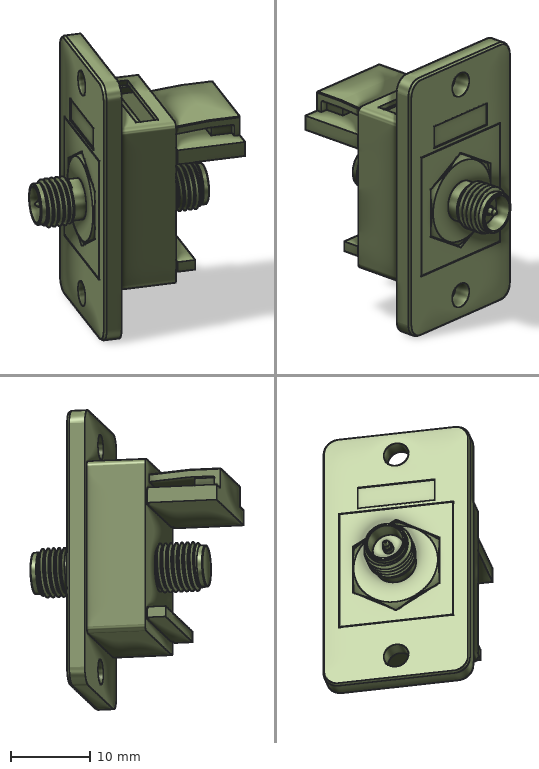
import cadquery as cq
import math


plate_width = 19.0
plate_height = 35.5
plate_thickness = 2.35
plate_corner_radius = 2.0
plate_edge_bevel_length = 0.35
plate_edge_bevel_inset = 0.2
screw_hole_diameter = 3.2
screw_hole_spacing = 29.0

label_width = 10.0
label_height = 3.0
label_depth = 0.2
label_z = 8.83
insert_width = 14.85
insert_height = 16.4
insert_z = -1.35
insert_gap = 0.1
insert_gap_depth = 0.5

housing_width = 16.75
housing_rear = 9.9
housing_top = 11.13
housing_bottom = -11.1
housing_edge_radius = 0.75

slot_width = 13.1
slot_front = 5.15
slot_rear = 8.1
slot_depth = 0.65
slot_pocket_width = 11.9
slot_pocket_front = 6.15
slot_pocket_rear = 9.0
slot_pocket_depth = 1.5

latch_rear = 19.1
slab_width = 16.3
slab_bottom = 5.35
slab_top = 7.3
neck_width = 14.5
neck_length = 0.25
foot_rear = 12.5
foot_bottom = -9.45
foot_top = -8.1
arm_width = 11.9
arm_top = 9.88
arm_bend = 15.1
arm_root_top = 9.5
arm_thickness = 1.0
arm_edge_bevel = 0.12
post_thickness = 0.75
arm_inner_radius = 0.3
block_width = 9.9
block_front = 15.6

connector_z = -1.42
connector_front = -6.2
connector_rear = 16.1
barrel_diameter = 5.3
barrel_edge_bevel = 0.1
bore_floor_diameter = 4.1
bore_mouth_diameter = 4.65
bore_depth = 2.0
pin_base_diameter = 1.27
pin_base_length = 0.7
pin_diameter = 0.9
pin_tip_diameter = 0.2
pin_tip_length = 0.45
pin_setback = 0.05

thread_diameter = 6.25
thread_pitch = 25.4 / 36
thread_half_angle = 30.0
thread_root_overlap = 0.05
front_thread_first = -1.7
front_thread_last = -5.45
front_helix_start = -1.31
front_helix_turns = 6.3
rear_thread_last = 15.35
rear_helix_start = 8.93
rear_helix_turns = 9.7

nut_across_flats = 11.1
nut_face_diameter = 10.9
nut_protrusion = 0.22
nut_bevel_angle = 35.0
nut_seat_clearance = 0.1
nut_seat_depth = 0.8


def box(width, y_front, y_rear, z_bottom, z_top):
    """Box centred on X = 0."""
    block = cq.Workplane("XY").box(width, y_rear - y_front, z_top - z_bottom, centered=(True, False, False))
    return block.translate((0, y_front, z_bottom))


def cylinder(diameter, y_front, y_rear, z):
    """Cylinder along Y."""
    disc = cq.Workplane("XZ", origin=(0, y_front, z)).circle(diameter / 2)
    return disc.extrude(y_front - y_rear)


def cone(front_diameter, rear_diameter, y_front, y_rear, z):
    """Truncated cone along Y."""
    profile = [
        (0, y_front),
        (front_diameter / 2, y_front),
        (rear_diameter / 2, y_rear),
        (0, y_rear),
    ]
    solid = cq.Workplane("XY").polyline(profile).close().revolve(360, (0, 0, 0), (0, 1, 0))
    return solid.translate((0, 0, z))


def hexagon(across_flats, y_front, y_rear, z):
    """Hexagonal prism along Y with corners at top and bottom."""
    half_corner_angle = 180 / 6
    corner_diameter = across_flats / math.cos(math.radians(half_corner_angle))
    prism = cq.Workplane("XZ").polygon(6, corner_diameter).extrude(y_front - y_rear)
    return prism.rotate((0, 0, 0), (0, 1, 0), half_corner_angle).translate((0, y_front, z))


def make_plate():
    plate = box(plate_width, 0, plate_thickness, -plate_height / 2, plate_height / 2)
    plate = plate.edges("|Y").fillet(plate_corner_radius)
    plate = plate.faces("<Y").edges().chamfer(plate_edge_bevel_inset, plate_edge_bevel_length)
    for side in (-1, 1):
        hole_z = side * screw_hole_spacing / 2
        plate = plate.cut(cylinder(screw_hole_diameter, 0, plate_thickness, hole_z))
    return plate


def make_label_recess():
    return box(label_width, 0, label_depth, label_z - label_height / 2, label_z + label_height / 2)


def make_insert_gap():
    half_height = insert_height / 2
    inner_half_height = half_height - insert_gap
    outer = box(insert_width, 0, insert_gap_depth, insert_z - half_height, insert_z + half_height)
    inner = box(
        insert_width - 2 * insert_gap,
        0,
        insert_gap_depth,
        insert_z - inner_half_height,
        insert_z + inner_half_height,
    )
    return outer.cut(inner)


def make_housing():
    housing = box(housing_width, plate_thickness, housing_rear, housing_bottom, housing_top)
    housing = housing.edges("|Y").fillet(housing_edge_radius)
    slot = box(slot_width, slot_front, slot_rear, housing_top - slot_depth, housing_top)
    pocket = box(
        slot_pocket_width,
        slot_pocket_front,
        slot_pocket_rear,
        housing_top - slot_pocket_depth,
        housing_top - slot_depth,
    )
    return housing.cut(slot).cut(pocket)


def make_necked_bar(y_rear, z_bottom, z_top):
    """Bar on the rear of the housing, narrowed where it joins it."""
    shoulder = housing_rear + neck_length
    neck = box(neck_width, housing_rear, shoulder, z_bottom, z_top)
    return box(slab_width, shoulder, y_rear, z_bottom, z_top).union(neck)


def make_latch():
    post_front = latch_rear - post_thickness
    profile = [
        (housing_rear, arm_root_top),
        (arm_bend, arm_top),
        (latch_rear, arm_top),
        (latch_rear, slab_top),
        (post_front, slab_top),
        (post_front, arm_top - arm_thickness),
        (arm_bend, arm_top - arm_thickness),
        (housing_rear, arm_root_top - arm_thickness),
    ]
    arm = cq.Workplane("YZ").polyline(profile).close().extrude(arm_width / 2, both=True)
    arm = arm.faces(">Z").edges("|Y").chamfer(arm_edge_bevel)
    inner_corner = (0, post_front, arm_top - arm_thickness)
    arm = arm.edges(cq.NearestToPointSelector(inner_corner)).fillet(arm_inner_radius)
    block = box(block_width, block_front, post_front, slab_top, arm_top - arm_thickness)
    slab = make_necked_bar(latch_rear, slab_bottom, slab_top)
    return slab.union(arm).union(block)


def make_nut():
    nut = hexagon(nut_across_flats, -nut_protrusion, nut_seat_depth, connector_z)
    nut_length = nut_protrusion + nut_seat_depth
    spread = nut_length / math.tan(math.radians(nut_bevel_angle))
    bevel = cone(
        nut_face_diameter,
        nut_face_diameter + 2 * spread,
        -nut_protrusion,
        nut_seat_depth,
        connector_z,
    )
    return nut.intersect(bevel)


def make_ridge(helix_start, turns, direction):
    """Right-hand V ridge along Y; direction is the sign of its advance."""
    root_radius = barrel_diameter / 2 - thread_root_overlap
    crest_radius = thread_diameter / 2
    half_base = (crest_radius - root_radius) * math.tan(math.radians(thread_half_angle))
    helix = cq.Wire.makeHelix(thread_pitch, turns * thread_pitch, root_radius)
    ridge = (
        cq.Workplane("XZ")
        .polyline([(root_radius, -half_base), (crest_radius, 0), (root_radius, half_base)])
        .close()
        .sweep(cq.Workplane(helix), isFrenet=True)
    )
    ridge = ridge.rotate((0, 0, 0), (1, 0, 0), -90 * direction)
    return ridge.translate((0, helix_start, connector_z))


def make_thread_limit(y_front, y_rear):
    """Cylinder with 45 degree ends that fade the ridge into the barrel."""
    fade = (thread_diameter - barrel_diameter) / 2
    return cylinder(thread_diameter, y_front, y_rear, connector_z).faces("<Y or >Y").edges().chamfer(fade)


def make_front_barrel():
    barrel = cylinder(barrel_diameter, connector_front, nut_seat_depth, connector_z)
    barrel = barrel.faces("<Y").edges().chamfer(barrel_edge_bevel)
    ridge = make_ridge(front_helix_start, front_helix_turns, -1)
    barrel = barrel.union(ridge.intersect(make_thread_limit(front_thread_last, front_thread_first)))
    bore_floor = connector_front + bore_depth
    bore = cone(bore_mouth_diameter, bore_floor_diameter, connector_front, bore_floor, connector_z)
    barrel = barrel.cut(bore)
    pin_tip = connector_front + pin_setback
    pin_shoulder = pin_tip + pin_tip_length
    pin_base_front = bore_floor - pin_base_length
    barrel = barrel.union(cylinder(pin_base_diameter, pin_base_front, bore_floor, connector_z))
    barrel = barrel.union(cylinder(pin_diameter, pin_shoulder, bore_floor, connector_z))
    return barrel.union(cone(pin_tip_diameter, pin_diameter, pin_tip, pin_shoulder, connector_z))


def make_rear_barrel():
    barrel = cylinder(barrel_diameter, plate_thickness, connector_rear, connector_z)
    barrel = barrel.faces(">Y").edges().chamfer(barrel_edge_bevel)
    ridge = make_ridge(rear_helix_start, rear_helix_turns, 1)
    return barrel.union(ridge.intersect(make_thread_limit(plate_thickness, rear_thread_last)))


nut_seat = hexagon(nut_across_flats + 2 * nut_seat_clearance, 0, nut_seat_depth, connector_z)

result = make_plate().cut(make_label_recess()).cut(make_insert_gap()).cut(nut_seat)
result = result.union(make_housing())
result = result.union(make_latch())
result = result.union(make_necked_bar(foot_rear, foot_bottom, foot_top))
result = result.union(make_nut())
result = result.union(make_front_barrel())
result = result.union(make_rear_barrel())